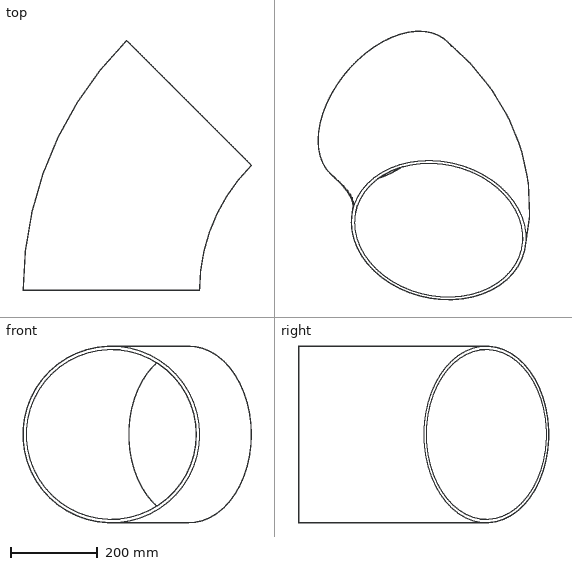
import cadquery as cq

outer_diameter = 406.4
wall_thickness = 8.0
bend_radius = 610.0
bend_angle = 45.0

outer_radius = outer_diameter / 2
inner_radius = outer_radius - wall_thickness


def pipe_elbow():
    """Revolve the pipe's ring section about the bend axis, which runs along Z at X = bend_radius."""
    axis_start = (bend_radius, 0)
    axis_end = (bend_radius, -1)
    return (
        cq.Workplane("XZ")
        .circle(outer_radius)
        .circle(inner_radius)
        .revolve(bend_angle, axis_start, axis_end)
    )


result = pipe_elbow()